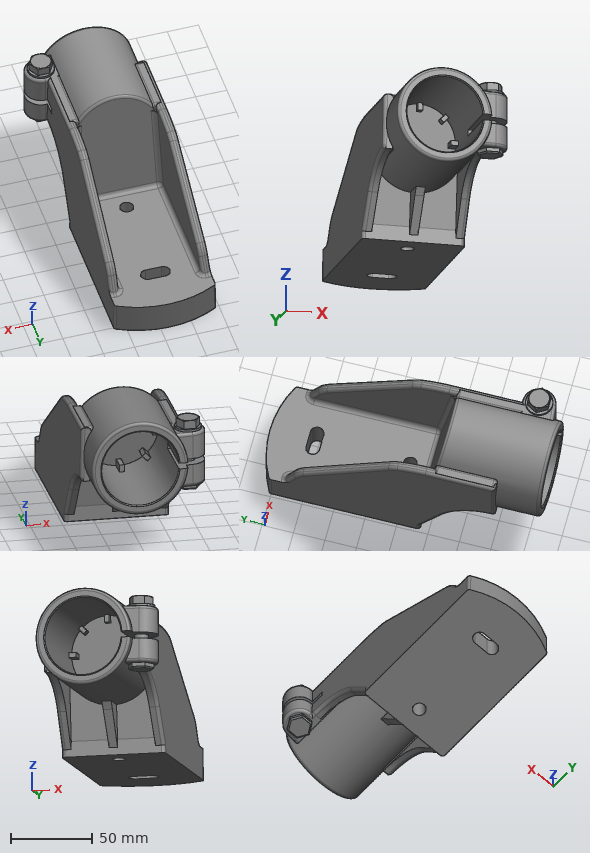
import cadquery as cq
import math

tube_radius = 30.0
tube_axis_z = 60.6
tube_rim_fillet = 1.8
bore_radius = 24.1
bore_chamfer = 0.7

plate_half_width = 32.7
plate_height = 19.8
plate_front_y = 75.0
plate_rear_y = 178.8
plate_rear_corner_y = 170.5
plate_corner_fillet = 2.1
hole_diameter = 8.4
hole_y = 89.5
slot_hole_y = 150.2
slot_hole_length = 18.6

wall_foot_z = 9.7
wall_top_z = 75.1
wall_depth = 3.5
wall_lean = 0.17
wall_half_width = 27.7
wall_fillet = 1.8

cheek_thickness = 5.9
cheek_top_z = 79.2
cheek_top_half_width = 31.5
cheek_lower_z = 44.2
cheek_front_y = 27.7
cheek_slope_start_z = 4.6
cheek_arch_y = 49.7
cheek_arch_radius = 39.3
cheek_crest_y = 81.0
cheek_crest_radius = 73.3
cheek_shoulder_y = 93.0
cheek_shoulder_z = 76.2
cheek_knee_y = 153.5
cheek_knee_z = 34.9
cheek_heel_y = 164.5
cheek_heel_z = 14.3
cheek_bend_radius = 17.9
cheek_fillet = 2.1
foot_fillet = 3.2

pad_inner_x = 22.7
pad_top_z = 79.4

rib_bottom_width = 5.2
rib_top_width = 6.6

lug_x = 32.9
lug_y = 16.5
lug_radius = 10.4
lug_front_y = 5.0
lug_root_x = 23.6
lug_fillet = 2.0
clamp_gap = 3.8
clamp_slot_length = 35.8
shank_radius = 4.3
collar_diameter = 16.8
collar_height = 1.5
head_corner_diameter = 14.8
head_height = 5.4
head_chamfer_width = 1.0
head_chamfer_height = 0.5
nut_flat_width = 14.0
nut_height = 3.2
nut_chamfer = 0.9

stop_count = 8
stop_inner_radius = 19.5
stop_width = 3.0
stop_front_y = 59.0

overlap = 0.9
tall = 107.3
select_margin = 0.2


def wall_front_at(z):
    """Y of the leaning wall's front face at height z."""
    return plate_front_y - wall_lean * (z - wall_foot_z)


def extrude_x(sketch_yz, half_width):
    """Extrude a YZ outline equally to both sides of the middle plane."""
    return sketch_yz.extrude(half_width, both=True)


def in_front_of_wall(offset):
    """Everything on the open-end side of a plane parallel to the leaning wall."""
    profile = (
        cq.Workplane("YZ")
        .moveTo(-overlap, 0)
        .lineTo(wall_front_at(0) + offset, 0)
        .lineTo(wall_front_at(tall) + offset, tall)
        .lineTo(-overlap, tall)
        .close()
    )
    return extrude_x(profile, tall)


def make_plate():
    plate = (
        cq.Workplane("XY")
        .moveTo(-plate_half_width, plate_front_y)
        .lineTo(plate_half_width, plate_front_y)
        .lineTo(plate_half_width, plate_rear_corner_y)
        .threePointArc((0, plate_rear_y), (-plate_half_width, plate_rear_corner_y))
        .close()
        .extrude(plate_height)
    )
    plate = plate.intersect(drafted_envelope())
    return plate.edges("not (<Z or >Z)").fillet(plate_corner_fillet)


def drafted_envelope():
    """Trapezoid along Y that gives the outer sides their draft."""
    return (
        cq.Workplane("XZ")
        .polyline([
            (-plate_half_width, 0),
            (plate_half_width, 0),
            (cheek_top_half_width, cheek_top_z),
            (-cheek_top_half_width, cheek_top_z),
        ])
        .close()
        .extrude(-plate_rear_y)
    )


def cheek_prism(front_y):
    """Side outline shared by the cheeks and the centre rib, across the full width."""
    profile = (
        cq.Workplane("YZ")
        .polyline([
            (plate_front_y, 0),
            (plate_front_y, cheek_slope_start_z),
            (cheek_arch_y, cheek_lower_z),
            (front_y, cheek_lower_z),
            (front_y, cheek_top_z),
            (cheek_crest_y, cheek_top_z),
            (cheek_shoulder_y, cheek_shoulder_z),
            (cheek_knee_y, cheek_knee_z),
            (cheek_heel_y, cheek_heel_z),
            (cheek_heel_y, 0),
        ])
        .close()
    )
    prism = extrude_x(profile, plate_half_width)
    rounded_corners = [
        (cheek_arch_y, cheek_lower_z, cheek_arch_radius),
        (cheek_crest_y, cheek_top_z, cheek_crest_radius),
        (cheek_shoulder_y, cheek_shoulder_z, cheek_bend_radius),
        (cheek_knee_y, cheek_knee_z, cheek_bend_radius),
    ]
    for y, z, radius in rounded_corners:
        corner = cq.selectors.NearestToPointSelector((0, y, z))
        prism = prism.edges("|X").edges(corner).fillet(radius)
    return prism


def side_band():
    """Strip of cheek thickness along the left side that follows the outer draft."""
    return (
        cq.Workplane("XZ")
        .polyline([
            (-plate_half_width, 0),
            (-cheek_top_half_width, cheek_top_z),
            (-cheek_top_half_width + cheek_thickness, cheek_top_z),
            (-plate_half_width + cheek_thickness, 0),
        ])
        .close()
        .extrude(-plate_rear_y)
    )


def make_cheek(front_y):
    """Left cheek, rounded all along its outer side and along the upper edge of its inner side."""
    cheek = side_band().intersect(cheek_prism(front_y))
    outer_edges = cheek.faces("<X").edges("not <Z")
    upper_region = cq.selectors.BoxSelector(
        (-tall, plate_front_y + overlap, overlap), (tall, plate_rear_y, tall)
    )
    inner_upper_edges = cheek.faces(">X").edges(upper_region)
    return outer_edges.add(inner_upper_edges).fillet(cheek_fillet)


def make_pad(front_y):
    """Block that fills the gap between the left cheek and the tube."""
    pad = cq.Workplane("XY").box(
        cheek_top_half_width - cheek_fillet - pad_inner_x,
        plate_front_y - front_y,
        pad_top_z - cheek_lower_z,
        centered=False,
    ).translate((-cheek_top_half_width + cheek_fillet, front_y, cheek_lower_z))
    pad = pad.edges("(>X and >Z) or (<Y and (>X or >Z or <Z))").fillet(cheek_fillet)
    pad = pad.intersect(in_front_of_wall(wall_depth))
    return pad.faces(">Y").edges(">Z").fillet(wall_fillet)


def make_centre_rib():
    rib = (
        cq.Workplane("XZ")
        .polyline([
            (-rib_bottom_width / 2, 0),
            (rib_bottom_width / 2, 0),
            (rib_top_width / 2, tube_axis_z),
            (-rib_top_width / 2, tube_axis_z),
        ])
        .close()
        .extrude(-plate_rear_y)
    )
    return rib.intersect(cheek_prism(cheek_front_y)).intersect(in_front_of_wall(wall_depth))


def make_wall():
    """Leaning wall between the cheeks, rising from the plate across the end of the tube."""
    slab = cq.Workplane("XY").box(
        2 * wall_half_width, plate_rear_y, wall_top_z - wall_foot_z, centered=(True, False, False)
    ).translate((0, 0, wall_foot_z))
    return slab.intersect(in_front_of_wall(wall_depth)).cut(in_front_of_wall(0))


def make_tube():
    tube = (
        cq.Workplane("XZ")
        .center(0, tube_axis_z)
        .circle(tube_radius)
        .extrude(-plate_rear_y)
        .faces("<Y")
        .edges()
        .fillet(tube_rim_fillet)
    )
    return tube.intersect(in_front_of_wall(wall_depth)).faces(">Y").edges().fillet(wall_fillet)


def make_bore():
    """Bore with a chamfered mouth that ends on the front of the leaning wall."""
    bore = (
        cq.Workplane("XY")
        .lineTo(bore_radius + bore_chamfer, 0)
        .lineTo(bore_radius, bore_chamfer)
        .lineTo(bore_radius, plate_front_y)
        .lineTo(0, plate_front_y)
        .close()
        .revolve(360, (0, 0, 0), (0, 1, 0))
        .translate((0, 0, tube_axis_z))
    )
    return bore.intersect(in_front_of_wall(0))


def make_stops():
    """Ring of short radial bars that stop the inserted pipe."""
    bar = cq.Workplane("XY").box(
        bore_radius + overlap - stop_inner_radius,
        plate_front_y - stop_front_y,
        stop_width,
        centered=(False, False, True),
    ).translate((stop_inner_radius, stop_front_y, 0))
    stops = cq.Workplane("XY")
    for index in range(stop_count):
        stops = stops.union(bar.rotate((0, 0, 0), (0, 1, 0), index * 360 / stop_count))
    return stops.translate((0, 0, tube_axis_z)).intersect(in_front_of_wall(overlap))


def make_lug():
    root_dx = lug_root_x - lug_x
    root_dy = lug_front_y - lug_y
    reach = math.hypot(root_dx, root_dy)
    tangent_angle = math.atan2(root_dy, root_dx) + math.acos(lug_radius / reach)
    tangent_x = lug_x + lug_radius * math.cos(tangent_angle)
    tangent_y = lug_y + lug_radius * math.sin(tangent_angle)
    lug_back_y = lug_y + lug_radius
    return (
        cq.Workplane("XY", origin=(0, 0, cheek_lower_z))
        .moveTo(lug_root_x, lug_front_y)
        .lineTo(tangent_x, tangent_y)
        .threePointArc((lug_x + lug_radius, lug_y), (lug_x, lug_back_y))
        .lineTo(lug_root_x, lug_back_y)
        .close()
        .extrude(pad_top_z - cheek_lower_z)
        .faces("<Z or >Z")
        .edges("not <X")
        .fillet(lug_fillet)
    )


def make_clamp_slot():
    slot_width = lug_x + lug_radius + overlap
    return cq.Workplane("XY").box(
        slot_width, clamp_slot_length + overlap, clamp_gap, centered=(False, False, True)
    ).translate((0, -overlap, tube_axis_z))


def make_bolt():
    """Bolt with its collar and hexagon head above the lug and a nut below."""
    at_bolt = cq.Workplane("XY", origin=(lug_x, lug_y, 0))
    lug_height = pad_top_z - cheek_lower_z
    shank = at_bolt.workplane(offset=cheek_lower_z).circle(shank_radius).extrude(lug_height)
    collar = at_bolt.workplane(offset=pad_top_z).circle(collar_diameter / 2).extrude(collar_height)
    head = (
        at_bolt.workplane(offset=pad_top_z + collar_height)
        .polygon(6, head_corner_diameter)
        .extrude(head_height)
    )
    head_rounding = (
        at_bolt.workplane(offset=pad_top_z + collar_height)
        .circle(head_corner_diameter / 2)
        .extrude(head_height)
        .faces(">Z")
        .chamfer(head_chamfer_height, head_chamfer_width)
    )
    head = head.intersect(head_rounding)
    nut = (
        at_bolt.workplane(offset=cheek_lower_z)
        .transformed(rotate=(0, 0, 30))
        .polygon(6, nut_flat_width, circumscribed=True)
        .extrude(-nut_height)
        .faces("<Z")
        .chamfer(nut_chamfer)
    )
    return shank.union(collar).union(head).union(nut)


def make_holes():
    round_hole = (
        cq.Workplane("XY")
        .center(0, hole_y)
        .circle(hole_diameter / 2)
        .extrude(plate_height)
    )
    slot_hole = (
        cq.Workplane("XY")
        .center(0, slot_hole_y)
        .slot2D(slot_hole_length, hole_diameter)
        .extrude(plate_height)
    )
    return round_hole.union(slot_hole)


def round_inner_corners(body):
    """Fillet the cheeks and the leaning wall into the plate, and into each other."""
    foot_region = cq.selectors.BoxSelector(
        (-plate_half_width + overlap, plate_front_y, plate_height - select_margin),
        (plate_half_width - overlap, plate_rear_corner_y, plate_height + select_margin),
    )
    corner_x = plate_half_width - cheek_thickness
    corner_z = (plate_height + wall_top_z) / 2
    corner_y = wall_front_at(corner_z) + wall_depth
    left_corner = cq.selectors.NearestToPointSelector((-corner_x, corner_y, corner_z))
    right_corner = cq.selectors.NearestToPointSelector((corner_x, corner_y, corner_z))
    return body.edges(foot_region + left_corner + right_corner).fillet(foot_fillet)


body = make_plate().union(make_wall())
body = body.union(make_cheek(cheek_front_y)).union(make_cheek(lug_y).mirror("YZ"))
body = round_inner_corners(body)

body = body.union(make_tube()).union(make_centre_rib()).union(make_lug())
body = body.union(make_pad(cheek_front_y)).union(make_pad(lug_y).mirror("YZ"))

body = body.cut(make_bore()).cut(make_clamp_slot()).cut(make_holes())
result = body.union(make_stops()).union(make_bolt())